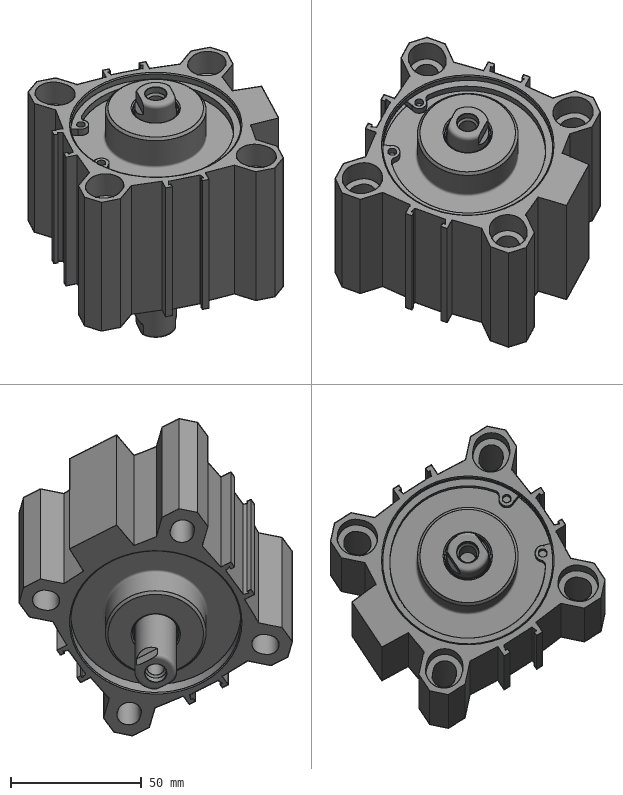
import cadquery as cq
import math


housing_height = 62.0
lug_reach = 40.0
lug_flat_outer = 34.8
lug_flat_inner = 27.2
lug_root = 20.7
wall_at_lug = lug_reach - (lug_flat_inner - lug_root)
wall_at_middle = 34.5

rail_reach = 39.0
rail_outer = 8.7
lip_inner = 6.0
lip_underside = 37.3
slot_half_width = 7.0
floor_half_width = 6.4
slot_floor = 35.3

port_reach = 46.0
port_root_half = 11.3
port_tip_half = 10.5

hole_pitch_near = 30.0
hole_pitch_far = 31.0
hole_diameter = 9.0
counterbore_diameter = 14.0
counterbore_depth = 10.5

bore_diameter = 63.0
cover_diameter = 65.1
bore_chamfer = 0.5
cover_recess = 5.9
cover_thickness = 11.2
plate_top = housing_height - cover_recess
plate_bottom = plate_top - cover_thickness
boss_diameter = 38.5
boss_height = 8.1
boss_chamfer = 1.0
boss_root_fillet = 0.9
wiper_diameter = 17.7
wiper_depth = 2.0
clearance_diameter = 16.6
clearance_depth = 2.0
wiper_chamfer = 0.6

ring_outer_diameter = 68.2
ring_inner_diameter = 59.6
ring_thickness = 3.0
ring_gap_half_angle = 20.2
ear_pitch_radius = 28.9
ear_radius = 2.9
ear_hole_diameter = 3.2
ear_fillet = 2.2

rod_diameter = 16.0
rod_bottom = -35.0
rod_top = rod_bottom + 112
rod_fillet = 1.5
flat_spacing = 13.0
flat_length = 5.0
tap_diameter = 6.6
tap_depth = 15.7
tap_relief_diameter = 8.3
tap_relief_depth = 2.8
tap_relief_chamfer = 0.1
tap_tip_height = 0.3


def mirrored(half):
    """Half of a side profile, completed across the middle of the side."""
    return half + [(-along, out) for along, out in reversed(half)]


def housing_outline():
    """Closed outline, walked counterclockwise one side at a time."""
    lug = [
        (lug_flat_outer, lug_reach),
        (lug_flat_inner, lug_reach),
        (lug_root, wall_at_lug),
    ]
    rail = [
        (rail_outer, wall_at_middle),
        (rail_outer, rail_reach),
        (lip_inner, rail_reach),
        (lip_inner, lip_underside),
        (slot_half_width, lip_underside),
        (floor_half_width, slot_floor),
    ]
    port = [
        (port_root_half, wall_at_middle),
        (port_tip_half, port_reach),
    ]
    outline = []
    for quarter_turns, middle in enumerate([port, rail, rail, rail]):
        for along, out in mirrored(lug + middle):
            for _ in range(quarter_turns):
                along, out = -out, along
            outline.append((along, out))
    return outline


def diagonal_slot(quadrant, diameter, bottom, depth):
    """Vertical cutter with round ends along the diagonal of one quadrant."""
    sign_x, sign_y = quadrant
    middle = (hole_pitch_near + hole_pitch_far) / 2
    stretch = (hole_pitch_far - hole_pitch_near) * math.sqrt(2)
    return (
        cq.Workplane("XY", origin=(sign_x * middle, sign_y * middle, bottom))
        .slot2D(diameter + stretch, diameter, 45 * sign_x * sign_y)
        .extrude(depth)
    )


def revolved(profile):
    """Solid of revolution about Z from a closed (radius, height) profile."""
    return cq.Workplane("XZ").polyline(profile).close().revolve(360, (0, 0), (0, 1))


def mirrored_copy(shape):
    """The same shape at the lower end of the housing."""
    return shape.mirror("XY", (0, 0, housing_height / 2))


def cover_seat():
    """Cutter for the wide seat of the upper cover, with its chamfered mouth."""
    radius = cover_diameter / 2
    return revolved([
        (0, plate_bottom),
        (radius, plate_bottom),
        (radius, housing_height - bore_chamfer),
        (radius + bore_chamfer, housing_height),
        (0, housing_height),
    ])


def ring_groove():
    """Cutter for the groove that holds the retaining ring."""
    return (
        cq.Workplane("XY", origin=(0, 0, plate_top))
        .circle(ring_outer_diameter / 2)
        .extrude(ring_thickness)
    )


def make_housing():
    body = cq.Workplane("XY").polyline(housing_outline()).close().extrude(housing_height)
    body = body.cut(cq.Workplane("XY").circle(bore_diameter / 2).extrude(housing_height))
    body = body.cut(cover_seat()).cut(mirrored_copy(cover_seat())).cut(ring_groove())
    for quadrant in [(1, 1), (-1, 1), (-1, -1), (1, -1)]:
        through_hole = diagonal_slot(quadrant, hole_diameter, 0, housing_height)
        counterbore = diagonal_slot(
            quadrant, counterbore_diameter, housing_height - counterbore_depth, counterbore_depth
        )
        body = body.cut(through_hole).cut(counterbore)
    return body


def make_cover():
    """Upper cover: a plate with a boss that guides the rod."""
    boss_top = housing_height + boss_height
    boss_radius = boss_diameter / 2
    root_corner = boss_radius + boss_root_fillet
    arc_step = boss_root_fillet * (1 - math.sqrt(0.5))
    wiper_radius = wiper_diameter / 2
    return (
        cq.Workplane("XZ")
        .moveTo(rod_diameter / 2, plate_bottom)
        .lineTo(cover_diameter / 2, plate_bottom)
        .lineTo(cover_diameter / 2, plate_top)
        .lineTo(root_corner, plate_top)
        .threePointArc(
            (boss_radius + arc_step, plate_top + arc_step),
            (boss_radius, plate_top + boss_root_fillet),
        )
        .lineTo(boss_radius, boss_top - boss_chamfer)
        .lineTo(boss_radius - boss_chamfer, boss_top)
        .lineTo(wiper_radius + wiper_chamfer, boss_top)
        .lineTo(wiper_radius, boss_top - wiper_chamfer)
        .lineTo(wiper_radius, boss_top - wiper_depth)
        .lineTo(clearance_diameter / 2, boss_top - wiper_depth)
        .lineTo(clearance_diameter / 2, boss_top - wiper_depth - clearance_depth)
        .lineTo(rod_diameter / 2, boss_top - wiper_depth - clearance_depth)
        .close()
        .revolve(360, (0, 0), (0, 1))
    )


def on_circle(radius, angle, side):
    """Point at an angle from the -Y direction, towards +X or -X."""
    turn = math.radians(angle)
    return (side * radius * math.sin(turn), -radius * math.cos(turn))


def make_retaining_ring():
    """Internal retaining ring with its gap towards -Y and an ear on each end."""
    inner_radius = ring_inner_diameter / 2
    base = cq.Workplane("XY", origin=(0, 0, plate_top))
    ring = base.circle(ring_outer_diameter / 2).circle(inner_radius).extrude(ring_thickness)

    gap_ends = [on_circle(ring_outer_diameter, ring_gap_half_angle, side) for side in (-1, 1)]
    ring = ring.cut(base.polyline([(0, 0), *gap_ends]).close().extrude(ring_thickness))

    ear_angle = ring_gap_half_angle + math.degrees(math.asin(ear_radius / ear_pitch_radius))
    ear_centers = [on_circle(ear_pitch_radius, ear_angle, side) for side in (-1, 1)]
    ring = ring.union(base.pushPoints(ear_centers).circle(ear_radius).extrude(ring_thickness))

    corner_cosine = (ear_pitch_radius**2 + inner_radius**2 - ear_radius**2) / (
        2 * ear_pitch_radius * inner_radius
    )
    corner_angle = ear_angle + math.degrees(math.acos(corner_cosine))
    for side in (-1, 1):
        corner = (*on_circle(inner_radius, corner_angle, side), plate_top + ring_thickness / 2)
        ring = ring.edges("|Z").edges(cq.NearestToPointSelector(corner)).fillet(ear_fillet)
    return ring.cut(base.pushPoints(ear_centers).circle(ear_hole_diameter / 2).extrude(ring_thickness))


def tapped_end():
    """Cutter for the axial hole in the upper rod end: relief, drill and drill tip."""
    relief_radius = tap_relief_diameter / 2
    tap_radius = tap_diameter / 2
    relief_bottom = rod_top - tap_relief_depth
    tap_bottom = rod_top - tap_depth
    return revolved([
        (0, rod_top),
        (relief_radius + tap_relief_chamfer, rod_top),
        (relief_radius, rod_top - tap_relief_chamfer),
        (relief_radius, relief_bottom),
        (tap_radius, relief_bottom - (relief_radius - tap_radius)),
        (tap_radius, tap_bottom),
        (0, tap_bottom - tap_tip_height),
    ])


def wrench_flat(side):
    """Cutter for one flat of the upper rod end, run out at 45 degrees."""
    flat = flat_spacing / 2
    flat_bottom = rod_top - flat_length
    clearance = rod_diameter / 2
    return (
        cq.Workplane("YZ")
        .polyline([
            (side * flat, rod_top),
            (side * flat, flat_bottom),
            (side * (flat + clearance), flat_bottom - clearance),
            (side * (flat + clearance), rod_top),
        ])
        .close()
        .extrude(rod_diameter / 2, both=True)
    )


def make_rod():
    rod = (
        cq.Workplane("XY", origin=(0, 0, rod_bottom))
        .circle(rod_diameter / 2)
        .extrude(rod_top - rod_bottom)
        .faces("<Z or >Z")
        .edges()
        .fillet(rod_fillet)
    )
    rod_middle = (0, 0, (rod_bottom + rod_top) / 2)
    for cutter in [wrench_flat(-1), wrench_flat(1), tapped_end()]:
        rod = rod.cut(cutter).cut(cutter.mirror("XY", rod_middle))
    return rod


housing = make_housing()
upper_cover = make_cover()
lower_cover = mirrored_copy(make_cover())
retaining_ring = make_retaining_ring()
rod = make_rod()

result = cq.Compound.makeCompound([
    housing.val(),
    upper_cover.val(),
    lower_cover.val(),
    retaining_ring.val(),
    rod.val(),
])